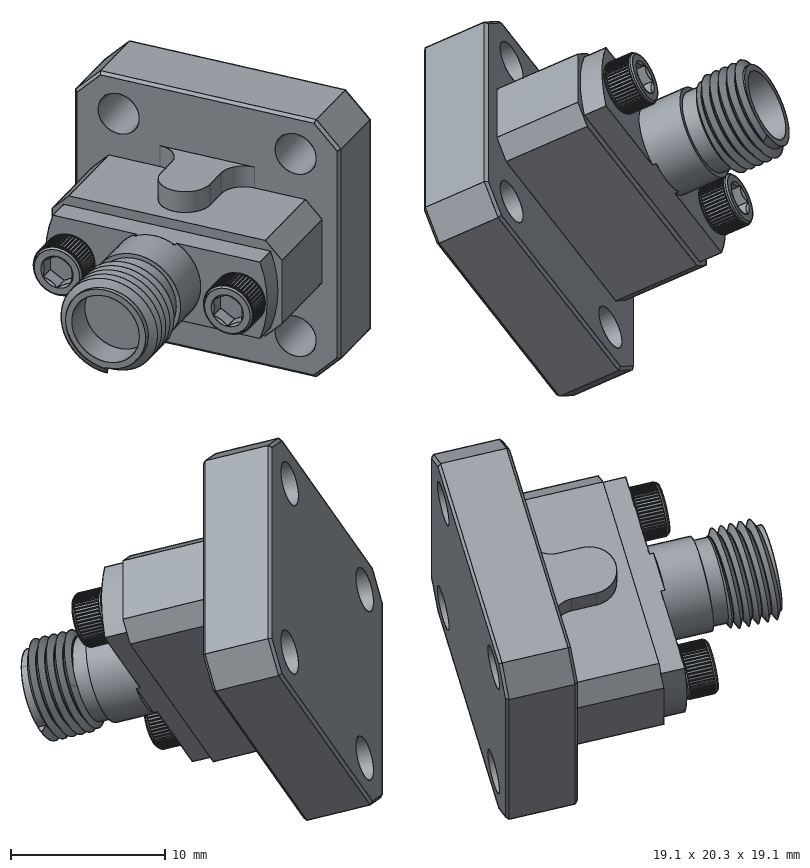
import cadquery as cq
import math


PLATE_SIDE = 19.05
PLATE_THICKNESS = 4.83
PLATE_CORNER_CUT = 1.78
PLATE_EDGE_CHAMFER = 0.2
MOUNT_HOLE_DIAMETER = 2.95
MOUNT_HOLE_X = 6.35
MOUNT_HOLE_Z = 6.75

BLOCK_WIDTH = 16.5
BLOCK_HEIGHT = 7.08
BLOCK_LENGTH = 6.1
BLOCK_CORNER_CUT = 1.2
KEY_TOP_Z = 5.08
KEY_LENGTH = 5.08
KEY_END_RADIUS = 1.77
KEY_ROOT_RADIUS = 1.62

EAR_DIAMETER = 15.9
EAR_HEIGHT = 5.66
EAR_THICKNESS = 1.63
TRIMMED_COLLAR_LENGTH = 0.26

OVERALL_LENGTH = 20.32
BARREL_DIAMETER = 6.35
BARREL_LENGTH = 3.07
NECK_DIAMETER = 5.74
BORE_DIAMETER = 4.85
BORE_DEPTH = 2.0

THREAD_DIAMETER = 6.78
THREAD_PITCH = 0.632
THREAD_BASE_WIDTH = 0.58
THREAD_LENGTH = 3.62
THREAD_TURNS = 6
THREAD_LEAD_IN = 0.04
THREAD_RUNOUT_ANGLE = 60
THREAD_OVERLAP = 0.03

SCREW_X = 6.11
HEAD_DIAMETER = 3.5
HEAD_LENGTH = 2.18
HEAD_CHAMFER = 0.12
KNURL_DIAMETER = 3.64
KNURL_GROOVE_DEPTH = 0.07
KNURL_LENGTH = 1.7
KNURL_TEETH = 50
KNURL_LAND = 0.6
SOCKET_ACROSS_FLATS = 2.0
SOCKET_DEPTH = 1.1
SOCKET_ANGLE = 30

PLATE_FRONT = -PLATE_THICKNESS
BLOCK_FRONT = PLATE_FRONT - BLOCK_LENGTH
EAR_FRONT = BLOCK_FRONT - EAR_THICKNESS
BARREL_FRONT = EAR_FRONT - BARREL_LENGTH
TIP = -OVERALL_LENGTH


def section(y):
    """Sketch plane across the connector axis; extrusions run toward -Y."""
    return cq.Workplane("XZ", origin=(0, y, 0))


def make_plate():
    plate = section(0).rect(PLATE_SIDE, PLATE_SIDE).extrude(PLATE_THICKNESS)
    plate = plate.edges("|Y").chamfer(PLATE_CORNER_CUT)
    plate = plate.faces("<Y or >Y").chamfer(PLATE_EDGE_CHAMFER)
    holes = (
        section(0)
        .rect(2 * MOUNT_HOLE_X, 2 * MOUNT_HOLE_Z, forConstruction=True)
        .vertices()
        .circle(MOUNT_HOLE_DIAMETER / 2)
        .extrude(PLATE_THICKNESS)
    )
    return plate.cut(holes)


def make_block():
    block = section(PLATE_FRONT).rect(BLOCK_WIDTH, BLOCK_HEIGHT).extrude(BLOCK_LENGTH)
    return block.edges("|Y").chamfer(BLOCK_CORNER_CUT)


def make_key():
    """Round-ended key that flares into the plate through two concave arcs."""
    half_root = KEY_END_RADIUS + KEY_ROOT_RADIUS
    flare_end = PLATE_FRONT - KEY_ROOT_RADIUS
    key_front = PLATE_FRONT - KEY_LENGTH
    round_start = key_front + KEY_END_RADIUS
    arc_inset = KEY_ROOT_RADIUS * math.sqrt(0.5)
    flare_mid_x = half_root - arc_inset
    flare_mid_y = flare_end + arc_inset
    return (
        cq.Workplane("XY")
        .moveTo(-half_root, PLATE_FRONT)
        .threePointArc((-flare_mid_x, flare_mid_y), (-KEY_END_RADIUS, flare_end))
        .lineTo(-KEY_END_RADIUS, round_start)
        .threePointArc((0, key_front), (KEY_END_RADIUS, round_start))
        .lineTo(KEY_END_RADIUS, flare_end)
        .threePointArc((flare_mid_x, flare_mid_y), (half_root, PLATE_FRONT))
        .close()
        .extrude(KEY_TOP_Z)
    )


def make_ears():
    """Connector flange and the short trimmed start of the barrel."""
    disc = section(BLOCK_FRONT).circle(EAR_DIAMETER / 2).extrude(EAR_THICKNESS)
    collar = section(EAR_FRONT).circle(BARREL_DIAMETER / 2).extrude(TRIMMED_COLLAR_LENGTH)
    slab = (
        section(BLOCK_FRONT)
        .rect(EAR_DIAMETER, EAR_HEIGHT)
        .extrude(EAR_THICKNESS + TRIMMED_COLLAR_LENGTH)
    )
    return disc.union(collar).intersect(slab)


def make_barrel():
    barrel_start = EAR_FRONT - TRIMMED_COLLAR_LENGTH
    barrel = section(barrel_start).circle(BARREL_DIAMETER / 2).extrude(barrel_start - BARREL_FRONT)
    neck = section(BARREL_FRONT).circle(NECK_DIAMETER / 2).extrude(BARREL_FRONT - TIP)
    return barrel.union(neck)


def make_thread():
    """Right-hand V ridge that starts at the tip, below the axis."""
    root_radius = NECK_DIAMETER / 2
    crest_radius = THREAD_DIAMETER / 2
    sunk_radius = root_radius - THREAD_OVERLAP
    flank_ratio = THREAD_BASE_WIDTH / 2 / (crest_radius - root_radius)
    half_width = flank_ratio * (crest_radius - sunk_radius)
    crest_z = THREAD_BASE_WIDTH / 2 - THREAD_LEAD_IN
    helix = cq.Wire.makeHelix(THREAD_PITCH, THREAD_PITCH * THREAD_TURNS, root_radius)
    ridge = (
        cq.Workplane("XZ")
        .moveTo(sunk_radius, crest_z - half_width)
        .lineTo(crest_radius, crest_z)
        .lineTo(sunk_radius, crest_z + half_width)
        .close()
        .sweep(cq.Workplane(helix), isFrenet=True)
    )
    limit_radius = THREAD_DIAMETER
    slope = math.tan(math.radians(THREAD_RUNOUT_ANGLE))
    limit_shoulder = THREAD_LENGTH - (limit_radius - root_radius) / slope
    apex = THREAD_LENGTH + root_radius / slope
    limit = (
        cq.Workplane("XZ")
        .polyline([(0, 0), (limit_radius, 0), (limit_radius, limit_shoulder), (0, apex)])
        .close()
        .revolve(360, (0, 0, 0), (0, 1, 0))
    )
    ridge = ridge.intersect(limit)
    ridge = ridge.rotate((0, 0, 0), (0, 0, 1), 90)
    ridge = ridge.rotate((0, 0, 0), (1, 0, 0), -90)
    return ridge.translate((0, TIP, 0))


def make_bore():
    return section(TIP + BORE_DEPTH).circle(BORE_DIAMETER / 2).extrude(BORE_DEPTH)


def knurl_points():
    """Straight knurl: flat-tipped teeth parted by V grooves."""
    tip_radius = KNURL_DIAMETER / 2
    root_radius = tip_radius - KNURL_GROOVE_DEPTH
    tooth_pitch = 2 * math.pi / KNURL_TEETH
    half_land = KNURL_LAND * tooth_pitch / 2
    points = []
    for i in range(KNURL_TEETH):
        middle = i * tooth_pitch
        groove = middle + tooth_pitch / 2
        for radius, angle in (
            (tip_radius, middle - half_land),
            (tip_radius, middle + half_land),
            (root_radius, groove),
        ):
            points.append((radius * math.cos(angle), radius * math.sin(angle)))
    return points


def make_screw_head(x):
    head = section(EAR_FRONT).circle(HEAD_DIAMETER / 2).extrude(HEAD_LENGTH)
    head = head.edges().chamfer(HEAD_CHAMFER)
    knurl_start = EAR_FRONT - (HEAD_LENGTH - KNURL_LENGTH) / 2
    head = head.union(section(knurl_start).polyline(knurl_points()).close().extrude(KNURL_LENGTH))

    flat_radius = SOCKET_ACROSS_FLATS / 2
    corner_radius = flat_radius / math.cos(math.pi / 6)
    head_front = EAR_FRONT - HEAD_LENGTH
    socket = section(head_front + SOCKET_DEPTH).polygon(6, 2 * corner_radius).extrude(SOCKET_DEPTH)
    socket = socket.rotate((0, 0, 0), (0, 1, 0), SOCKET_ANGLE)
    countersink_depth = corner_radius - flat_radius
    countersink = cq.Workplane(
        cq.Solid.makeCone(
            corner_radius, flat_radius, countersink_depth, pnt=(0, head_front, 0), dir=(0, 1, 0)
        )
    )
    head = head.cut(socket).cut(countersink)
    return head.translate((x, 0, 0))


result = make_plate().union(make_block()).union(make_key()).union(make_ears())
result = result.union(make_barrel()).union(make_thread()).cut(make_bore())
for screw_x in (-SCREW_X, SCREW_X):
    result = result.union(make_screw_head(screw_x))